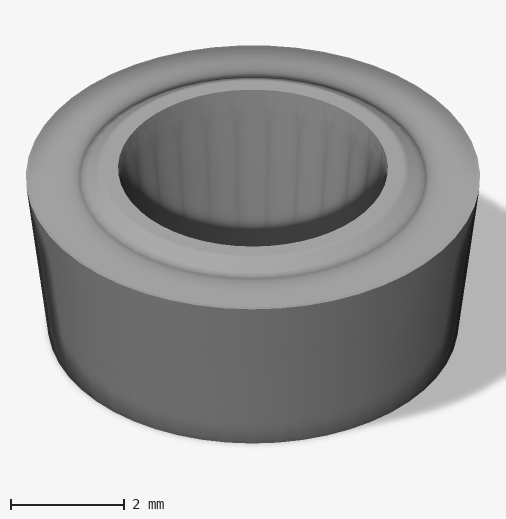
import math

import cadquery as cq

height = 3.38
rim_radius = 4.0
base_radius = 3.62
rim_height = 3.18

face_radius = 3.93
face_height = 3.17

ring_foot_radius = 3.06
flank_angle = math.radians(30)
crown_blend_radius = 0.2

bore_top_radius = 2.38
bore_bottom_radius = 2.02

crown_corner_radius = ring_foot_radius - (height - face_height) / math.tan(flank_angle)
blend_setback = crown_blend_radius * math.tan(flank_angle / 2)

crown_radius = crown_corner_radius - blend_setback
blend_center_height = height - crown_blend_radius


def blend_point(angle):
    """Point on the crown blend, at an angle measured outward from straight up."""
    return (
        crown_radius + crown_blend_radius * math.sin(angle),
        blend_center_height + crown_blend_radius * math.cos(angle),
    )


half_section = (
    cq.Workplane("XZ")
    .moveTo(bore_bottom_radius, 0)
    .lineTo(base_radius, 0)
    .lineTo(rim_radius, rim_height)
    .lineTo(face_radius, face_height)
    .lineTo(ring_foot_radius, face_height)
    .lineTo(*blend_point(flank_angle))
    .threePointArc(blend_point(flank_angle / 2), blend_point(0))
    .lineTo(bore_top_radius, height)
    .close()
)

result = half_section.revolve(360, (0, 0, 0), (0, 1, 0))